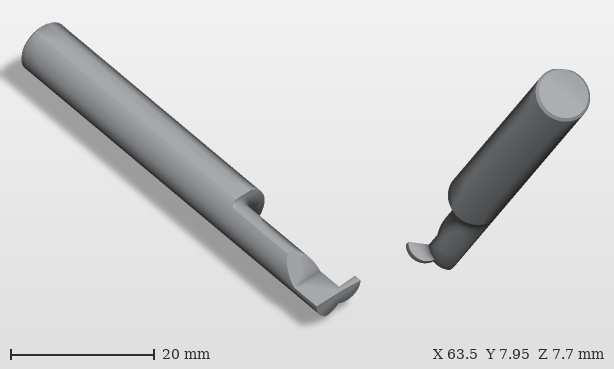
import cadquery as cq
import math

total_length = 63.5
shank_diameter = 7.95
shank_radius = shank_diameter / 2
height_over_flat = 7.7
shank_flat_height = height_over_flat - shank_radius
rear_chamfer = 0.4
shank_length = 43.05

neck_radius = 3.2
neck_side = 0.9
neck_center = neck_side - neck_radius
neck_fillet = 0.75

head_flat_start = 58.5
head_end = 63.3

tooth_back_root = 62.5
tooth_back_tip = 62.3
tooth_clearance_radius = 2.55


def rod(radius, center_y, start, end):
    """Cylinder along X between two stations."""
    return cq.Workplane("YZ", origin=(start, center_y, 0)).circle(radius).extrude(end - start)


def make_shank():
    return rod(shank_radius, 0, 0, shank_length).faces("<X").chamfer(rear_chamfer)


def make_flat_cut():
    """Material above the flat along the top of the shank."""
    return (
        cq.Workplane("XY", origin=(total_length / 2, 0, shank_flat_height))
        .rect(total_length, 2 * shank_radius)
        .extrude(shank_radius)
    )


def make_neck(envelope):
    """Neck with a concave fillet flaring out into the shank shoulder."""
    flare_radius = neck_radius + neck_fillet
    flare_end = shank_length + neck_fillet
    mid_offset = neck_fillet * math.sin(math.radians(45))
    profile = (
        cq.Workplane("XY")
        .moveTo(shank_length, neck_center)
        .lineTo(shank_length, neck_center + flare_radius)
        .threePointArc(
            (flare_end - mid_offset, neck_center + flare_radius - mid_offset),
            (flare_end, neck_side),
        )
        .lineTo(head_end, neck_side)
        .lineTo(head_end, neck_center)
        .close()
    )
    neck = profile.revolve(360, (shank_length, neck_center, 0), (head_end, neck_center, 0))
    return neck.intersect(envelope)


def make_tooth():
    """Tooth tapering towards +Y, with a rounded clearance underside."""
    outline = (
        cq.Workplane("XY", origin=(0, 0, -shank_radius))
        .moveTo(tooth_back_root, neck_center)
        .lineTo(tooth_back_root, neck_side)
        .lineTo(tooth_back_tip, shank_radius)
        .lineTo(total_length, shank_radius)
        .lineTo(head_end, neck_side)
        .lineTo(head_end, neck_center)
        .close()
        .extrude(2 * shank_radius)
    )
    clearance_center = shank_radius - tooth_clearance_radius
    clearance = rod(tooth_clearance_radius, clearance_center, tooth_back_tip, total_length)
    return outline.intersect(clearance)


def make_head_cut():
    ramp_rise = shank_radius
    return (
        cq.Workplane("XZ", origin=(0, shank_radius, 0))
        .moveTo(head_flat_start, 0)
        .lineTo(head_flat_start - ramp_rise, ramp_rise)
        .lineTo(total_length, ramp_rise)
        .lineTo(total_length, 0)
        .close()
        .extrude(2 * shank_radius)
    )


envelope = rod(shank_radius, 0, 0, total_length)
body = make_shank().union(make_neck(envelope)).union(make_tooth())
result = body.cut(make_flat_cut()).cut(make_head_cut())